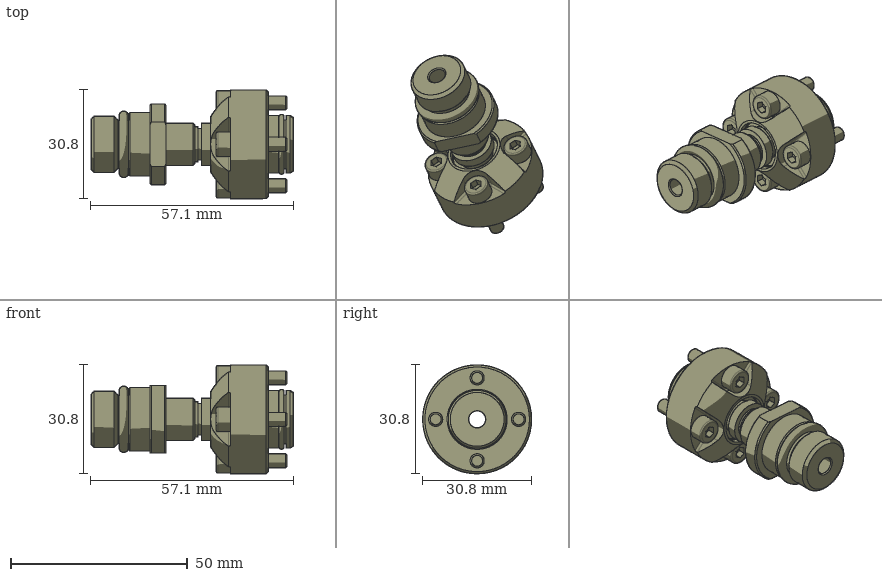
import cadquery as cq
import math

overall_length = 57.15

inlet_diameter = 16.0
inlet_chamfer = 0.9
inlet_taper_start = 6.45

inlet_groove_diameter = 13.55
inlet_groove_end = 10.65
seat_diameter = 18.0
seat_chamfer = 0.35

collar_start = 16.65
collar_end = 21.2
collar_diameter = 22.85
collar_chamfer = 0.4
collar_across_flats = 19.15

shaft_diameter = 12.0
shaft_shoulder = 29.3
shaft_chamfer = 0.5
relief_diameter = 10.0
neck_start = 30.2
neck_diameter = 9.0
neck_end = 31.2

outlet_diameter = 16.35
outlet_chamfer_length = 0.9
outlet_chamfer_depth = 0.6
outlet_groove_diameter = 13.9
outlet_groove_start = 53.05
outlet_groove_end = 55.1

bore_diameter = 4.75
bore_chamfer = 0.35

flange_diameter = 30.8
flange_front = 33.8
flange_front_diameter = 15.45
dome_end = 38.8
flange_back = 50.1
flange_edge_chamfer = 0.65
recess_diameter = 13.9
recess_depth = 1.7
recess_step_diameter = 13.55
recess_step_depth = 2.25
spigot_shoulder = 34.3

screw_count = 4
screw_circle_radius = 11.7
pocket_floor = 39.45
pocket_apex_radius = 5.0
pocket_apex_distance = 7.85
pocket_floor_fillet = 0.6

head_front = 35.4
head_diameter = 7.0
head_fillet = 0.45
shank_diameter = 4.0
shank_end = 55.45
shank_chamfer = 0.45
socket_sides = 6
socket_across_flats = 3.05
socket_depth = 2.0
socket_point_depth = 0.85

inlet_ring_section = 2.65
inlet_ring_x = 9.25
outlet_ring_inner_diameter = 14.0
outlet_ring_section = 1.5
outlet_ring_x = 53.85


def cylinder_x(diameter, start, end):
    """Solid cylinder on the X axis."""
    return cq.Workplane("YZ", origin=(start, 0, 0)).circle(diameter / 2).extrude(end - start)


def revolve_x(outline):
    """Turn a closed XY outline about the X axis."""
    return outline.close().revolve(360, (0, 0, 0), (1, 0, 0))


def make_shaft():
    """Inlet end, O-ring groove, seat and the stepped shaft that enters the flange."""
    inlet_radius = inlet_diameter / 2
    groove_radius = inlet_groove_diameter / 2
    seat_radius = seat_diameter / 2
    shaft_radius = shaft_diameter / 2
    taper_end = inlet_taper_start + inlet_radius - groove_radius
    return revolve_x(
        cq.Workplane("XY")
        .moveTo(0, 0)
        .lineTo(0, inlet_radius - inlet_chamfer)
        .lineTo(inlet_chamfer, inlet_radius)
        .lineTo(inlet_taper_start, inlet_radius)
        .lineTo(taper_end, groove_radius)
        .lineTo(inlet_groove_end, groove_radius)
        .lineTo(inlet_groove_end, seat_radius - seat_chamfer)
        .lineTo(inlet_groove_end + seat_chamfer, seat_radius)
        .lineTo(collar_start, seat_radius)
        .lineTo(collar_start, shaft_radius)
        .lineTo(shaft_shoulder - shaft_chamfer, shaft_radius)
        .lineTo(shaft_shoulder, shaft_radius - shaft_chamfer)
        .lineTo(shaft_shoulder, relief_diameter / 2)
        .lineTo(neck_start, relief_diameter / 2)
        .lineTo(neck_start, neck_diameter / 2)
        .lineTo(neck_end, neck_diameter / 2)
        .lineTo(neck_end, shaft_radius)
        .lineTo(spigot_shoulder - shaft_chamfer, shaft_radius)
        .lineTo(spigot_shoulder, shaft_radius - shaft_chamfer)
        .lineTo(spigot_shoulder, relief_diameter / 2)
        .lineTo(flange_back, relief_diameter / 2)
        .lineTo(flange_back, 0)
    )


def make_collar():
    """Chamfered round collar with two wrench flats, facing +Z and -Z."""
    collar = cylinder_x(collar_diameter, collar_start, collar_end)
    collar = collar.faces("<X or >X").chamfer(collar_chamfer)
    flats = cq.Workplane("XY").box(2 * collar_end, collar_diameter, collar_across_flats)
    return collar.intersect(flats)


def make_outlet():
    """Outlet end behind the flange, with its O-ring groove."""
    radius = outlet_diameter / 2
    groove_radius = outlet_groove_diameter / 2
    return revolve_x(
        cq.Workplane("XY")
        .moveTo(dome_end, 0)
        .lineTo(dome_end, radius)
        .lineTo(outlet_groove_start, radius)
        .lineTo(outlet_groove_start, groove_radius)
        .lineTo(outlet_groove_end, groove_radius)
        .lineTo(outlet_groove_end, radius)
        .lineTo(overall_length - outlet_chamfer_length, radius)
        .lineTo(overall_length, radius - outlet_chamfer_depth)
        .lineTo(overall_length, 0)
    )


def make_flange():
    """Rim with a spherical front, a stepped recess round the shaft and four screw pockets."""
    front_radius = flange_front_diameter / 2
    rim_radius = flange_diameter / 2
    dome_length = dome_end - flange_front
    sphere_offset = (dome_length**2 + rim_radius**2 - front_radius**2) / (2 * dome_length)
    sphere_radius = math.hypot(sphere_offset, front_radius)
    dome_middle = dome_length / 2
    middle_radius = math.sqrt(sphere_radius**2 - (sphere_offset - dome_middle) ** 2)
    flange = revolve_x(
        cq.Workplane("XY")
        .moveTo(flange_front, 0)
        .lineTo(flange_front, front_radius)
        .threePointArc((flange_front + dome_middle, middle_radius), (dome_end, rim_radius))
        .lineTo(flange_back - flange_edge_chamfer, rim_radius)
        .lineTo(flange_back, rim_radius - flange_edge_chamfer)
        .lineTo(flange_back, 0)
    )
    recess = cylinder_x(recess_diameter, flange_front, flange_front + recess_depth)
    recess_step = cylinder_x(recess_step_diameter, flange_front, flange_front + recess_step_depth)
    flange = flange.cut(recess).cut(recess_step)
    for index in range(screw_count):
        flange = flange.cut(around_axis(make_pocket(), index))
    return flange


def make_pocket():
    """Cutter for the top pocket: a 90 degree V with a round apex, open outwards."""
    reach = flange_diameter
    arc_centre = pocket_apex_distance + pocket_apex_radius
    tangent = pocket_apex_radius * math.sqrt(0.5)
    tangent_z = arc_centre - tangent
    pocket = (
        cq.Workplane("YZ", origin=(pocket_floor, 0, 0))
        .moveTo(-reach, tangent_z + reach - tangent)
        .lineTo(-tangent, tangent_z)
        .threePointArc((0, pocket_apex_distance), (tangent, tangent_z))
        .lineTo(reach, tangent_z + reach - tangent)
        .close()
        .extrude(flange_front - pocket_floor)
    )
    return pocket.faces(">X").edges("not(>Z)").fillet(pocket_floor_fillet)


def around_axis(shape, index):
    """Turn a shape from the top position to one of the screw positions."""
    return shape.rotate((0, 0, 0), (1, 0, 0), index * 360 / screw_count)


def make_screw():
    """Socket screw on the X axis, reaching through the flange."""
    head = cylinder_x(head_diameter, head_front, pocket_floor)
    head = head.faces("<X").edges().fillet(head_fillet)
    shank = cylinder_x(shank_diameter, pocket_floor, shank_end)
    shank = shank.faces(">X").chamfer(shank_chamfer)
    return head.union(shank).cut(make_socket())


def make_socket():
    """Hexagonal socket with a conical bottom and two corners on the Z direction."""
    half_sector = 360 / socket_sides / 2
    corner_diameter = socket_across_flats / math.cos(math.radians(half_sector))
    bottom = head_front + socket_depth
    hexagon = (
        cq.Workplane("YZ", origin=(head_front, 0, 0))
        .polygon(socket_sides, corner_diameter)
        .extrude(socket_depth + socket_point_depth)
        .rotate((0, 0, 0), (1, 0, 0), half_sector)
    )
    point = revolve_x(
        cq.Workplane("XY")
        .moveTo(head_front, 0)
        .lineTo(head_front, corner_diameter / 2)
        .lineTo(bottom, corner_diameter / 2)
        .lineTo(bottom + socket_point_depth, 0)
    )
    return hexagon.intersect(point)


def make_bore():
    """Through bore with a chamfered mouth at the inlet."""
    radius = bore_diameter / 2
    return revolve_x(
        cq.Workplane("XY")
        .moveTo(0, 0)
        .lineTo(0, radius + bore_chamfer)
        .lineTo(bore_chamfer, radius)
        .lineTo(overall_length, radius)
        .lineTo(overall_length, 0)
    )


def make_connector():
    """Shaft, collar, flange, screws and outlet as one body."""
    connector = make_flange().union(make_shaft()).union(make_collar()).union(make_outlet())
    screw = make_screw()
    for index in range(screw_count):
        angle = index * 2 * math.pi / screw_count
        y = screw_circle_radius * math.sin(angle)
        z = screw_circle_radius * math.cos(angle)
        connector = connector.union(screw.translate((0, y, z)))
    return connector.cut(make_bore())


def make_o_ring(inner_diameter, section, x):
    """O-ring centred on the X axis."""
    ring_radius = (inner_diameter + section) / 2
    ring = cq.Solid.makeTorus(ring_radius, section / 2, cq.Vector(x, 0, 0), cq.Vector(1, 0, 0))
    return cq.Workplane(obj=ring)


connector = make_connector()
inlet_o_ring = make_o_ring(inlet_groove_diameter, inlet_ring_section, inlet_ring_x)
outlet_o_ring = make_o_ring(outlet_ring_inner_diameter, outlet_ring_section, outlet_ring_x)

result = cq.Compound.makeCompound([connector.val(), inlet_o_ring.val(), outlet_o_ring.val()])